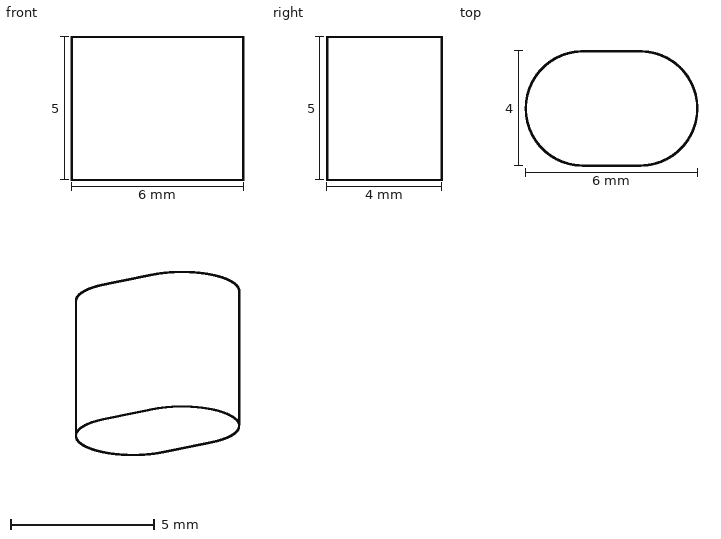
import cadquery as cq

length = 6.0
width = 4.0
height = 5.0

result = cq.Workplane("XY").slot2D(length, width).extrude(height)